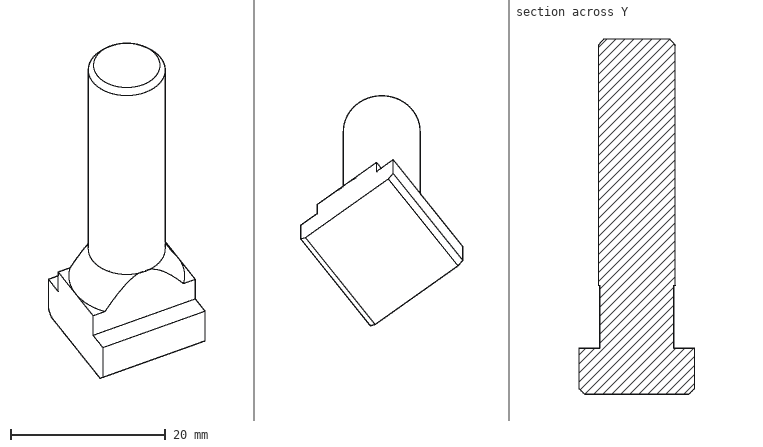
import cadquery as cq

total_height = 46.0
head_width = 15.0
head_height = 6.0
head_chamfer = 0.8

neck_width = 9.6
neck_top = 9.4
cone_top = 14.08

shank_diameter = 10.0
tip_diameter = 8.6
tip_height = 0.8


def make_head():
    """Square head with its two lower edges along Y chamfered."""
    block = cq.Workplane("XY").box(head_width, head_width, head_height, centered=(True, True, False))
    return block.faces("<Z").edges("|Y").chamfer(head_chamfer)


def make_neck():
    """Flat-sided neck topped by a cone that narrows to the neck width and is trimmed to it."""
    block = cq.Workplane("XY").box(neck_width, head_width, neck_top, centered=(True, True, False))
    cone = (
        cq.Workplane("XY", origin=(0, 0, neck_top))
        .circle(head_width / 2)
        .workplane(offset=cone_top - neck_top)
        .circle(neck_width / 2)
        .loft()
    )
    envelope = cq.Workplane("XY").box(neck_width, head_width, cone_top, centered=(True, True, False))
    return block.union(cone.intersect(envelope))


def make_shank():
    """Round shank with a bevelled tip, standing on top of the cone."""
    shank_radius = shank_diameter / 2
    tip_radius = tip_diameter / 2
    profile = [
        (0, cone_top),
        (shank_radius, cone_top),
        (shank_radius, total_height - tip_height),
        (tip_radius, total_height),
        (0, total_height),
    ]
    return cq.Workplane("XZ").polyline(profile).close().revolve(360, (0, 0), (0, 1))


result = make_head().union(make_neck()).union(make_shank())